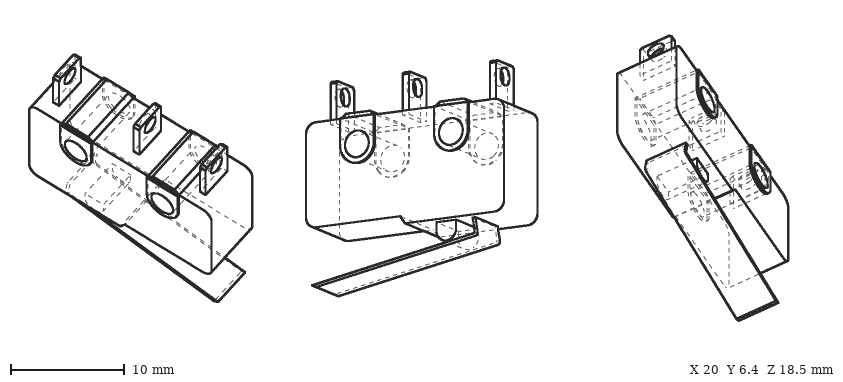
import cadquery as cq
import math


LENGTH = 20
THICKNESS = 6
HEIGHT = 10.2
CORNER_RADIUS = 1
STEP_HEIGHT = 0.7
STEP_START = LENGTH / 2
STEP_RUN = 0.5

LUG_SPACING = 9.48
LUG_WIDTH = 3.4
LUG_THICKNESS = 6.4
HOLE_HEIGHT = 7.7
HOLE_DIAMETER = 2.4
RIDGE_HEIGHT = 0.4
RIDGE_BEVEL_RUN = 0.5

TERMINAL_SIZES = [(1.92, 0.65), (10.72, 0.65), (18, 0.6)]
TERMINAL_WIDTH = 3.2
TERMINAL_TOP = 14.1
TERMINAL_CHAMFER = 0.25
TERMINAL_HOLE_DIAMETER = 1.6
TERMINAL_HOLE_DROP = 1.2

PLUNGER_X = 6.4
PLUNGER_WIDTH = 2
PLUNGER_THICKNESS = 4
PLUNGER_DROP = 1.75

LEVER_WIDTH = 4
LEVER_THICKNESS = 0.28
LEVER_ANGLE = 9.7
LEVER_BEND_RADIUS = 0.32
LEVER_INNER_RADIUS = 0.2
LEVER_CORNER_X = 3.18
LEVER_CORNER_Z = -1.65
LEVER_TIP_X = 19.55
LEVER_TIP_BEVEL_RUN = 0.38
LEG_EMBED = 0.2


def extrude_centred(sketch, thickness):
    """Extrude an XZ outline by equal amounts to both sides of Y = 0."""
    return sketch.extrude(thickness / 2, both=True)


def make_housing():
    outline = (
        cq.Workplane("XZ")
        .polyline([
            (0, 0),
            (STEP_START, 0),
            (STEP_START + STEP_RUN, STEP_HEIGHT),
            (LENGTH, STEP_HEIGHT),
            (LENGTH, HEIGHT),
            (0, HEIGHT),
        ])
        .close()
    )
    housing = extrude_centred(outline, THICKNESS)
    return housing.edges("|Y and (<X or >X)").fillet(CORNER_RADIUS)


def make_lug(x):
    half_width = LUG_WIDTH / 2
    pad = (
        cq.Workplane("XZ")
        .moveTo(x - half_width, HEIGHT)
        .lineTo(x - half_width, HOLE_HEIGHT)
        .threePointArc((x, HOLE_HEIGHT - half_width), (x + half_width, HOLE_HEIGHT))
        .lineTo(x + half_width, HEIGHT)
        .close()
    )
    ridge_half_top = half_width - RIDGE_BEVEL_RUN
    ridge = (
        cq.Workplane("XZ")
        .polyline([
            (x - half_width, HEIGHT),
            (x + half_width, HEIGHT),
            (x + ridge_half_top, HEIGHT + RIDGE_HEIGHT),
            (x - ridge_half_top, HEIGHT + RIDGE_HEIGHT),
        ])
        .close()
    )
    return extrude_centred(pad, LUG_THICKNESS).union(extrude_centred(ridge, THICKNESS))


def make_mounting_hole(x):
    circle = cq.Workplane("XZ").center(x, HOLE_HEIGHT).circle(HOLE_DIAMETER / 2)
    return extrude_centred(circle, LUG_THICKNESS)


def make_terminal(x, thickness):
    length = TERMINAL_TOP - HEIGHT
    blade = (
        cq.Workplane("XY", origin=(x, 0, HEIGHT))
        .box(thickness, TERMINAL_WIDTH, length, centered=(True, True, False))
        .edges("|X and >Z")
        .chamfer(TERMINAL_CHAMFER)
    )
    hole = (
        cq.Workplane("YZ", origin=(x, 0, TERMINAL_TOP - TERMINAL_HOLE_DROP))
        .circle(TERMINAL_HOLE_DIAMETER / 2)
        .extrude(thickness / 2, both=True)
    )
    return blade.cut(hole)


def make_plunger():
    radius = PLUNGER_WIDTH / 2
    round_start = radius - PLUNGER_DROP
    outline = (
        cq.Workplane("XZ")
        .moveTo(PLUNGER_X - radius, 0)
        .lineTo(PLUNGER_X - radius, round_start)
        .threePointArc((PLUNGER_X, -PLUNGER_DROP), (PLUNGER_X + radius, round_start))
        .lineTo(PLUNGER_X + radius, 0)
        .close()
    )
    return extrude_centred(outline, PLUNGER_THICKNESS)


def make_lever():
    slope = math.radians(LEVER_ANGLE)
    arm_length = (LEVER_TIP_X - LEVER_CORNER_X) / math.cos(slope)
    leg_length = (LEG_EMBED - LEVER_CORNER_Z) / math.cos(slope)
    outline = (
        cq.Workplane("XZ")
        .polyline([
            (0, 0),
            (arm_length, 0),
            (arm_length + LEVER_TIP_BEVEL_RUN, LEVER_THICKNESS),
            (LEVER_THICKNESS, LEVER_THICKNESS),
            (LEVER_THICKNESS, leg_length),
            (0, leg_length),
        ])
        .close()
    )
    strip = extrude_centred(outline, LEVER_WIDTH)
    inner_corner = cq.selectors.NearestToPointSelector((LEVER_THICKNESS, 0, LEVER_THICKNESS))
    outer_corner = cq.selectors.NearestToPointSelector((0, 0, 0))
    return (
        strip.edges(inner_corner)
        .fillet(LEVER_INNER_RADIUS)
        .edges(outer_corner)
        .fillet(LEVER_BEND_RADIUS)
        .rotate((0, 0, 0), (0, 1, 0), LEVER_ANGLE)
        .translate((LEVER_CORNER_X, 0, LEVER_CORNER_Z))
    )


lug_positions = [(LENGTH - LUG_SPACING) / 2, (LENGTH + LUG_SPACING) / 2]

result = make_housing()
for lug_x in lug_positions:
    result = result.union(make_lug(lug_x)).cut(make_mounting_hole(lug_x))
for terminal_x, terminal_thickness in TERMINAL_SIZES:
    result = result.union(make_terminal(terminal_x, terminal_thickness))
result = result.union(make_plunger()).union(make_lever())